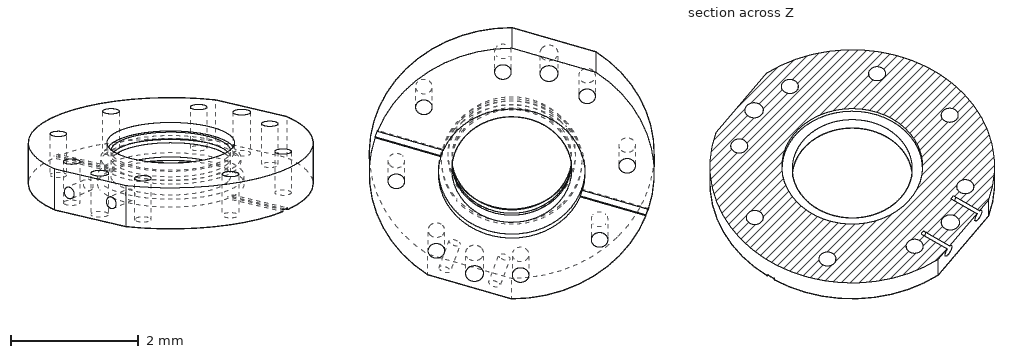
import cadquery as cq
import math

outer_diameter = 4.47
flat_to_flat = 4.25
thickness = 0.68

lip_radius = 0.94
top_recess_radius = 1.0
top_recess_depth = 0.14
ring_groove_radius = 1.1
ring_groove_start = 0.25
ring_groove_end = 0.315
bottom_recess_radius = 1.15
bottom_recess_start = 0.55

bolt_count = 8
bolt_circle_radius = 1.814
bolt_hole_diameter = 0.26
bolt_step = 360 / bolt_count

dowel_hole_diameter = 0.28
dowel_offset = 1.875

side_hole_diameter = 0.19
side_hole_spacing = 0.82
side_hole_depth = 0.5

notch_width = 0.12
notch_depth = 0.03


def make_body():
    """Disc trimmed by a flat on the +Y and -Y sides."""
    disc = cq.Workplane("XY").circle(outer_diameter / 2).extrude(thickness)
    trim = cq.Workplane("XY").rect(outer_diameter, flat_to_flat).extrude(thickness)
    return disc.intersect(trim)


def bore_step(radius, start_depth, end_depth):
    """Cylinder on the Z axis between two depths below the top face."""
    base = cq.Workplane("XY").workplane(offset=thickness - end_depth)
    return base.circle(radius).extrude(end_depth - start_depth)


def cut_bore(body):
    body = body.cut(bore_step(lip_radius, 0, thickness))
    body = body.cut(bore_step(top_recess_radius, 0, top_recess_depth))
    body = body.cut(bore_step(ring_groove_radius, ring_groove_start, ring_groove_end))
    return body.cut(bore_step(bottom_recess_radius, bottom_recess_start, thickness))


def through_holes(points, diameter):
    """Vertical cylinders through the full thickness at the given points."""
    return cq.Workplane("XY").pushPoints(points).circle(diameter / 2).extrude(thickness)


def bolt_points():
    angles = [math.radians((i + 0.5) * bolt_step) for i in range(bolt_count)]
    return [(bolt_circle_radius * math.cos(a), bolt_circle_radius * math.sin(a)) for a in angles]


def side_holes():
    """Cylinders running in +Y from the -Y flat."""
    flat_plane = cq.Plane(
        origin=(0, -flat_to_flat / 2, thickness / 2),
        xDir=(1, 0, 0),
        normal=(0, 1, 0),
    )
    centers = [(-side_hole_spacing / 2, 0), (side_hole_spacing / 2, 0)]
    circles = cq.Workplane(flat_plane).pushPoints(centers).circle(side_hole_diameter / 2)
    return circles.extrude(side_hole_depth)


def bottom_notch():
    return cq.Workplane("XY").rect(outer_diameter, notch_width).extrude(notch_depth)


result = cut_bore(make_body())
result = result.cut(through_holes(bolt_points(), bolt_hole_diameter))
dowel_points = [(0, dowel_offset), (0, -dowel_offset)]
result = result.cut(through_holes(dowel_points, dowel_hole_diameter))
result = result.cut(side_holes())
result = result.cut(bottom_notch())